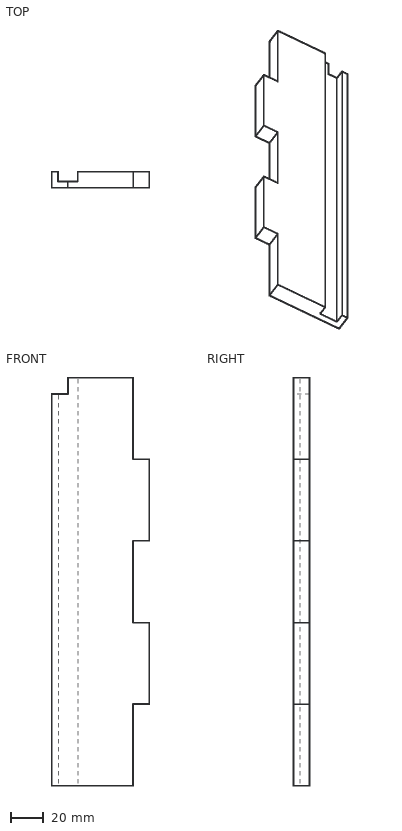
import cadquery as cq

height = 250.0
thickness = 10.0
body_width = 50.0
tab_depth = thickness
tab_height = height / 5
tab_bottoms = (tab_height, 3 * tab_height)
notch_size = 10.0
groove_start = 4.0
groove_width = 12.0
groove_depth = 6.0


def block(x, y, z, width, depth, tall):
    """Box whose lowest corner sits at (x, y, z)."""
    return cq.Workplane("XY").box(width, depth, tall, centered=False).translate((x, y, z))


plate = block(0, 0, 0, body_width, thickness, height)

for tab_bottom in tab_bottoms:
    plate = plate.union(block(body_width, 0, tab_bottom, tab_depth, thickness, tab_height))

plate = plate.cut(block(0, 0, height - notch_size, notch_size, thickness, notch_size))

groove = block(groove_start, thickness - groove_depth, 0, groove_width, groove_depth, height)
result = plate.cut(groove)